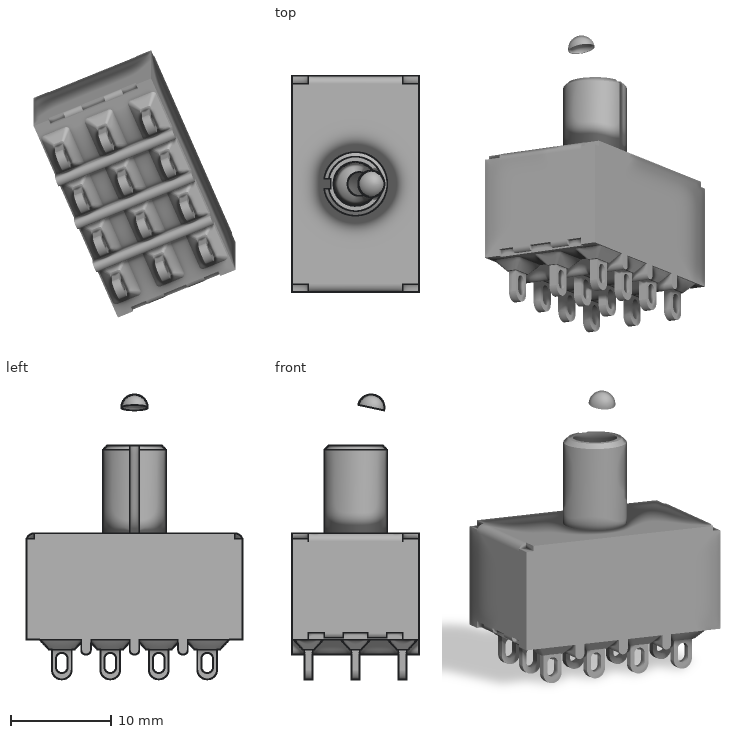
import cadquery as cq
import math

case_x = 12.7
case_y = 21.6
case_top = 10.6
roll_radius = 0.8
corner_width = 1.62
corner_drop = 0.55

plate_x = case_x - 2 * corner_width
recess_height = 0.68
recess_depth = 0.5
lug_width = 1.9
lug_spacing = 4.35
lug_height = 0.5
lug_curl = 0.45
lug_bottom = recess_height - lug_height

ridge_drop = 1.5
ridge_width = 1.0

columns = 3
rows = 4
column_pitch = 4.7
row_pitch = 4.83
pad_drop = 1.0
pad_flare = 0.95
pad_tip_x = 1.15
pad_tip_y = 2.55
pad_tip_corner = 0.2
pad_root_corner = 0.37
tab_thickness = 0.82
tab_width = 2.0
tab_drop = 3.98
tab_round = 0.88
eye_width = 1.15
eye_length = 2.0
eye_centre_drop = 2.33

bushing_diameter = 6.35
bushing_length = 8.75
bushing_chamfer = 0.45
bushing_top = case_top + bushing_length
bore_diameter = 4.4
keyway_width = 1.0
keyway_floor_radius = 2.45

overall_height = 28.45
lever_tilt = 12.1
ball_diameter = 4.35
ball_opening_diameter = 2.4
shell_wall = 0.09
dome_radius = 1.35
dome_offset_x = 1.55
dome_z = overall_height - tab_drop - dome_radius
pivot_z = dome_z - dome_offset_x / math.tan(math.radians(lever_tilt))


def centred_places(count, pitch):
    """Places of evenly spaced items, centred on zero."""
    return [(i - (count - 1) / 2) * pitch for i in range(count)]


def lever_plane(x, z):
    """A plane square to the lever, with its normal pointing to the lever tip."""
    tilt = math.radians(lever_tilt)
    return cq.Plane(
        origin=(x, 0, z),
        xDir=(math.cos(tilt), 0, -math.sin(tilt)),
        normal=(math.sin(tilt), 0, math.cos(tilt)),
    )


def make_end_recess():
    """Recess under the -Y end plate, less the two lugs that curl under it."""
    end_y = -case_y / 2
    recess = cq.Workplane("XY").box(plate_x, recess_depth, recess_height, centered=(True, False, False))
    recess = recess.translate((0, end_y, 0))
    for x in centred_places(2, lug_spacing):
        lug = (
            cq.Workplane("XY")
            .box(lug_width, recess_depth, lug_height, centered=(True, False, False))
            .edges("<Y and <Z")
            .fillet(lug_curl)
            .translate((x, end_y, lug_bottom))
        )
        recess = recess.cut(lug)
    return recess


def make_case():
    """Block with rolled end plates, lower corner posts and end recesses."""
    corner_places = [
        (sx * (case_x - corner_width) / 2, sy * (case_y - roll_radius) / 2)
        for sx in (-1, 1)
        for sy in (-1, 1)
    ]
    corner_posts = (
        cq.Workplane("XY")
        .pushPoints(corner_places)
        .rect(corner_width, roll_radius)
        .extrude(case_top - corner_drop)
    )
    core = cq.Workplane("XY").box(case_x, case_y - 2 * roll_radius, case_top, centered=(True, True, False))
    plates = (
        cq.Workplane("XY")
        .box(plate_x, case_y, case_top, centered=(True, True, False))
        .edges("|X and >Z")
        .fillet(roll_radius)
    )
    recess = make_end_recess()
    return core.union(plates).union(corner_posts).cut(recess).cut(recess.mirror("XZ"))


def make_ridge(y):
    """Ridge across the base with a half-round lower edge."""
    half_width = ridge_width / 2
    straight_drop = ridge_drop - half_width
    return (
        cq.Workplane("YZ", origin=(-case_x / 2, y, 0))
        .moveTo(-half_width, 0)
        .lineTo(-half_width, -straight_drop)
        .threePointArc((0, -ridge_drop), (half_width, -straight_drop))
        .lineTo(half_width, 0)
        .close()
        .extrude(case_x)
    )


def rounded_rectangle(x_size, y_size, corner):
    return cq.Sketch().rect(x_size, y_size).vertices().fillet(corner)


def make_terminal(x, y):
    """Pad with sloping sides, and a tab with an eye hanging below it."""
    root = rounded_rectangle(pad_tip_x + 2 * pad_flare, pad_tip_y + 2 * pad_flare, pad_root_corner)
    tip = rounded_rectangle(pad_tip_x, pad_tip_y, pad_tip_corner)
    tip = tip.moved(cq.Location(cq.Vector(0, 0, -pad_drop)))
    pad = cq.Workplane("XY").placeSketch(root, tip).loft(ruled=True)
    tab = (
        cq.Workplane("YZ", origin=(-tab_thickness / 2, 0, 0))
        .moveTo(-tab_width / 2, -pad_drop)
        .lineTo(-tab_width / 2, tab_round - tab_drop)
        .threePointArc((0, -tab_drop), (tab_width / 2, tab_round - tab_drop))
        .lineTo(tab_width / 2, -pad_drop)
        .close()
        .extrude(tab_thickness)
    )
    eye = (
        cq.Workplane("YZ", origin=(-tab_thickness / 2, 0, -eye_centre_drop))
        .slot2D(eye_length, eye_width, 90)
        .extrude(tab_thickness)
    )
    return pad.union(tab.cut(eye)).translate((x, y, 0))


def make_bushing():
    """Chamfered tube with a keyway, bored down to the middle of the pivot ball."""
    bushing = (
        cq.Workplane("XY", origin=(0, 0, case_top))
        .circle(bushing_diameter / 2)
        .extrude(bushing_length)
        .faces(">Z")
        .chamfer(bushing_chamfer)
    )
    bore = cq.Workplane("XY", origin=(0, 0, pivot_z)).circle(bore_diameter / 2).extrude(bushing_top - pivot_z)
    keyway_depth = bushing_diameter / 2 - keyway_floor_radius
    keyway = (
        cq.Workplane("XY", origin=(-bushing_diameter / 2, 0, case_top))
        .rect(2 * keyway_depth, keyway_width)
        .extrude(bushing_length)
    )
    return bushing.cut(bore).cut(keyway)


def make_ball():
    return cq.Workplane("XY", origin=(0, 0, pivot_z)).sphere(ball_diameter / 2)


def make_ball_cavity():
    """Inside of the hollow ball, open through a round hole toward the lever tip."""
    cavity = cq.Workplane(lever_plane(0, pivot_z)).sphere(ball_diameter / 2 - shell_wall)
    opening = cq.Workplane(lever_plane(0, pivot_z)).circle(ball_opening_diameter / 2).extrude(ball_diameter)
    return cavity.union(opening)


def make_housing():
    """Case, ridges, terminals, bushing and pivot ball as one solid."""
    housing = make_case().union(make_bushing()).union(make_ball()).cut(make_ball_cavity())
    row_places = centred_places(rows, row_pitch)
    for y in centred_places(rows - 1, row_pitch):
        housing = housing.union(make_ridge(y))
    for x in centred_places(columns, column_pitch):
        for y in row_places:
            housing = housing.union(make_terminal(x, y))
    return housing


def make_lever_tip():
    """Thin hemispherical dome, open on its lower side."""
    base = cq.Workplane(lever_plane(dome_offset_x, dome_z))
    dome = base.sphere(dome_radius).cut(base.sphere(dome_radius - shell_wall))
    lower_half = base.circle(2 * dome_radius).extrude(-2 * dome_radius)
    return dome.cut(lower_half)


housing = make_housing()
lever_tip = make_lever_tip()
result = cq.Compound.makeCompound([housing.val(), lever_tip.val()])